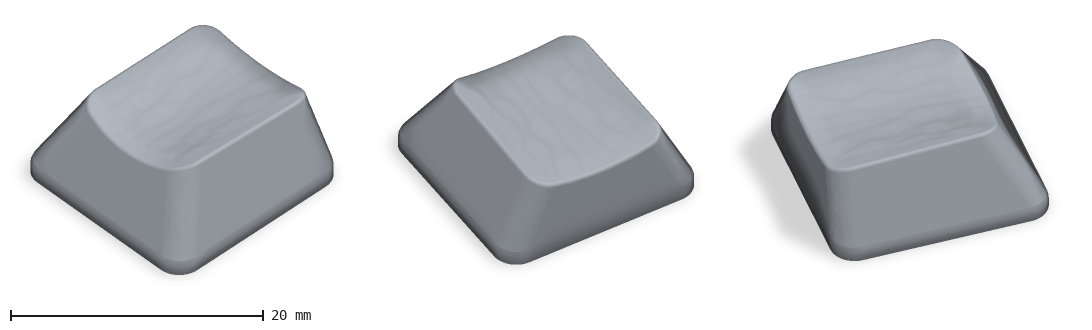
import cadquery as cq
import math

side = 18.16
half = side / 2
base_height = 0.65
base_corner_radius = 2.03
wall_corner_radius = 1.85

side_lean = 25.7
front_lean = 29.0
back_lean = 4.5
blend_height = 0.67

blank_height = 9.08
dish_half_width = 6.54
front_floor = 6.2
front_rise = 1.9
back_floor = 6.28
back_rise = 1.04
rim_radius = 0.3


def wall_inset(lean, z):
    """Distance a wall has moved in from the base outline at height z."""
    slope = math.tan(math.radians(lean))
    rise = z - base_height
    if rise <= 0:
        return 0
    if rise <= blend_height:
        return slope * rise**2 / (2 * blend_height)
    return slope * (rise - blend_height / 2)


def outline(z):
    """Rounded rectangular outline of the walls at height z."""
    width = side - 2 * wall_inset(side_lean, z)
    front = -half + wall_inset(front_lean, z)
    back = half - wall_inset(back_lean, z)
    blended = min(max((z - base_height) / blend_height, 0), 1)
    radius = base_corner_radius + blended * (wall_corner_radius - base_corner_radius)
    rectangle = cq.Wire.makePolygon(
        [
            cq.Vector(-width / 2, front, z),
            cq.Vector(width / 2, front, z),
            cq.Vector(width / 2, back, z),
            cq.Vector(-width / 2, back, z),
        ],
        close=True,
    )
    return rectangle.fillet2D(radius, rectangle.Vertices())


def tapered_body():
    """Straight base, curved blend and straight leaning walls, stacked."""
    blend_top = base_height + blend_height
    blend_middle = base_height + blend_height / 2
    base = cq.Solid.makeLoft([outline(0), outline(base_height)], True)
    blend = cq.Solid.makeLoft([outline(z) for z in (base_height, blend_middle, blend_top)])
    walls = cq.Solid.makeLoft([outline(blend_top), outline(blank_height)], True)
    return cq.Workplane(base).union(cq.Workplane(blend)).union(cq.Workplane(walls))


def dish_cutter():
    """Everything above a ruled surface between the front and back arcs."""

    def section(y, floor, rise):
        roof = 2 * blank_height
        edge = floor + rise
        return (
            cq.Workplane("XZ", origin=(0, y, 0))
            .moveTo(-dish_half_width, edge)
            .threePointArc((0, floor), (dish_half_width, edge))
            .lineTo(dish_half_width, roof)
            .lineTo(-dish_half_width, roof)
            .close()
            .wires()
            .val()
        )

    front = section(-half, front_floor, front_rise)
    back = section(half, back_floor, back_rise)
    return cq.Workplane(cq.Solid.makeLoft([front, back], True))


dished = tapered_body().cut(dish_cutter())
rim_edges = dished.faces(cq.selectors.NearestToPointSelector((0, 0, front_floor))).edges()
result = rim_edges.fillet(rim_radius)